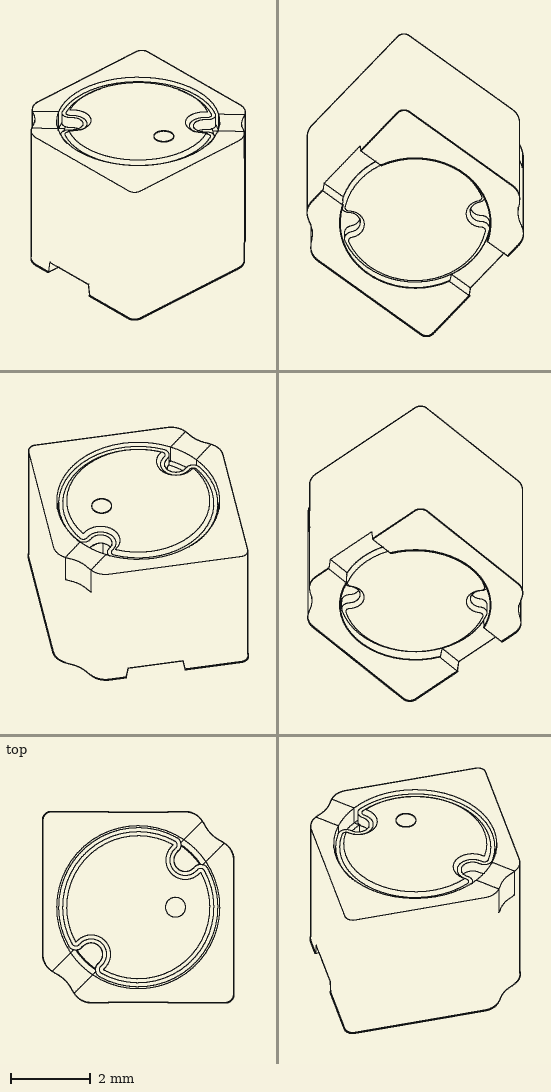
import cadquery as cq
import math

ORIGIN = (0, 0, 0)
UP = (0, 0, 1)
DIAGONAL = 45

OVERALL_WIDTH = 4.82
OVERALL_HEIGHT = 3.81

FOOT_THICKNESS = 0.02
FOOT_OVERHANG = 0.02

SHIELD_HALF = OVERALL_WIDTH / 2 - FOOT_OVERHANG
PLAIN_CORNER_RADIUS = 0.202
UPPER_BORE_RADIUS = 2.05
UPPER_BORE_DEPTH = 0.5
LOWER_BORE_RADIUS = 1.905

RELIEF_START = 1.19
RELIEF_ROUND_RADIUS = 0.5
RELIEF_ROUND_ANGLE = math.radians(56)
RELIEF_FLAT = 0.095
HOLLOW_DEPTH = 0.055

PLUG_WIDTH = 0.78
PLUG_HEIGHT = 0.8

CHANNEL_HEIGHT = 0.32
CHANNEL_TOP_HALF = 0.705
CHANNEL_BOTTOM_HALF = 0.75

CORE_BOTTOM = 0.215
CORE_TOP = OVERALL_HEIGHT
UPPER_FLANGE_RADIUS = 2.0
FLANGE_THICKNESS = 0.3
BEVEL = 0.1
BEVEL_MARGIN = 4.82e-05
LOWER_FLANGE_RADIUS = UPPER_FLANGE_RADIUS - BEVEL
POST_RADIUS = 0.89

NOTCH_RADIUS = 0.285
NOTCH_DISTANCE = 1.673
NOTCH_MOUTH_RADIUS = 0.205

MARK_RADIUS = 0.25
MARK_X = 0.935
MARK_DEPTH = 0.02


def cylinder(radius, bottom, top):
    return cq.Workplane("XY").workplane(offset=bottom).circle(radius).extrude(top - bottom)


def relief_points(overhang):
    """Points of the (+X, +Y) relief from the +X side to the diagonal.

    The overhang moves the side outwards and fades out along the round.
    """
    center_x = SHIELD_HALF - RELIEF_ROUND_RADIUS

    def round_point(angle, radius):
        return (center_x + radius * math.cos(angle), RELIEF_START + radius * math.sin(angle))

    side = round_point(0, RELIEF_ROUND_RADIUS + overhang)
    round_mid = round_point(RELIEF_ROUND_ANGLE / 2, RELIEF_ROUND_RADIUS + overhang / 2)
    round_end = round_point(RELIEF_ROUND_ANGLE, RELIEF_ROUND_RADIUS)
    flat_end = (
        round_end[0] - RELIEF_FLAT * math.sin(RELIEF_ROUND_ANGLE),
        round_end[1] + RELIEF_FLAT * math.cos(RELIEF_ROUND_ANGLE),
    )
    hollow = (flat_end[0] + flat_end[1]) / 2 - HOLLOW_DEPTH / math.sqrt(2)
    return side, round_mid, round_end, flat_end, (hollow, hollow)


def relieved_block(height, overhang=0):
    """Square block on Z = 0 with two relieved and two plain rounded corners."""
    half = SHIELD_HALF + overhang
    side, round_mid, round_end, flat_end, hollow = relief_points(overhang)

    outline = cq.Workplane("XY").moveTo(half, -half)
    for sign in (1, -1):

        def placed(point):
            return (sign * point[0], sign * point[1])

        def mirrored(point):
            return (sign * point[1], sign * point[0])

        outline = (
            outline.lineTo(*placed(side))
            .threePointArc(placed(round_mid), placed(round_end))
            .lineTo(*placed(flat_end))
            .threePointArc(placed(hollow), mirrored(flat_end))
            .lineTo(*mirrored(round_end))
            .threePointArc(mirrored(round_mid), mirrored(side))
            .lineTo(*placed((-half, half)))
        )
    block = outline.close().extrude(height)

    for sign in (1, -1):
        corner = cq.selectors.NearestToPointSelector((sign * half, -sign * half, height / 2))
        block = block.edges(corner).fillet(PLAIN_CORNER_RADIUS + overhang)
    return block


def channel():
    """Tapered bar that cuts the channel across the underside."""
    return (
        cq.Workplane("XZ")
        .polyline([
            (-CHANNEL_BOTTOM_HALF, 0),
            (CHANNEL_BOTTOM_HALF, 0),
            (CHANNEL_TOP_HALF, CHANNEL_HEIGHT),
            (-CHANNEL_TOP_HALF, CHANNEL_HEIGHT),
        ])
        .close()
        .extrude(OVERALL_WIDTH, both=True)
    )


def full_wall():
    """Shield wall before the plug slots are taken out, with the feet on its underside."""
    feet = relieved_block(FOOT_THICKNESS, FOOT_OVERHANG)
    feet = feet.cut(cylinder(LOWER_BORE_RADIUS - FOOT_OVERHANG, 0, FOOT_THICKNESS))
    wall = relieved_block(OVERALL_HEIGHT - FOOT_THICKNESS).translate((0, 0, FOOT_THICKNESS))
    wall = wall.cut(cylinder(LOWER_BORE_RADIUS, 0, OVERALL_HEIGHT))
    wall = wall.cut(cylinder(UPPER_BORE_RADIUS, OVERALL_HEIGHT - UPPER_BORE_DEPTH, OVERALL_HEIGHT))
    return wall.union(feet).cut(channel())


def plug_slot(turn):
    """Bar from the core axis out through one relieved corner, open at the top of the shield."""
    return (
        cq.Workplane("XY")
        .workplane(offset=OVERALL_HEIGHT - PLUG_HEIGHT)
        .center(OVERALL_WIDTH / 2, 0)
        .rect(OVERALL_WIDTH, PLUG_WIDTH)
        .extrude(PLUG_HEIGHT)
        .rotate(ORIGIN, UP, turn)
    )


def make_shield(wall, slots):
    for slot in slots:
        wall = wall.cut(slot)
    return wall


def make_plug(wall, slot):
    """Plug flush with the wall on every side."""
    return wall.intersect(slot)


def notched_disc(radius, inset, thickness):
    """Disc on Z = 0 with the two wire notches, its whole outline set in by the inset."""
    disc_radius = radius - inset
    notch_radius = NOTCH_RADIUS + inset
    notch = (
        cq.Workplane("XY")
        .moveTo(radius, -notch_radius)
        .lineTo(NOTCH_DISTANCE, -notch_radius)
        .threePointArc((NOTCH_DISTANCE - notch_radius, 0), (NOTCH_DISTANCE, notch_radius))
        .lineTo(radius, notch_radius)
        .close()
        .extrude(thickness)
    )
    disc = cylinder(disc_radius, 0, thickness)
    for turn in (0, 180):
        disc = disc.cut(notch.rotate(ORIGIN, UP, turn))

    mouth_x = math.sqrt(disc_radius**2 - notch_radius**2)
    for x in (-mouth_x, mouth_x):
        for y in (-notch_radius, notch_radius):
            corner = cq.selectors.NearestToPointSelector((x, y, thickness / 2))
            disc = disc.edges(corner).fillet(NOTCH_MOUTH_RADIUS - inset)
    return disc.rotate(ORIGIN, UP, DIAGONAL)


def make_core():
    rim_top = CORE_TOP - BEVEL
    flange_height = FLANGE_THICKNESS + BEVEL

    bevel_height = BEVEL - BEVEL_MARGIN
    rim = notched_disc(UPPER_FLANGE_RADIUS, 0, FLANGE_THICKNESS)
    boss = notched_disc(UPPER_FLANGE_RADIUS, BEVEL, BEVEL).faces(">Z").chamfer(bevel_height, BEVEL)
    lower = notched_disc(LOWER_FLANGE_RADIUS, 0, flange_height).faces("<Z").chamfer(BEVEL)

    core = cylinder(POST_RADIUS, CORE_BOTTOM + flange_height, CORE_TOP - flange_height)
    core = core.union(rim.translate((0, 0, rim_top - FLANGE_THICKNESS)))
    core = core.union(boss.translate((0, 0, rim_top)))
    core = core.union(lower.translate((0, 0, CORE_BOTTOM)))
    return core.cut(cylinder(MARK_RADIUS, CORE_TOP - MARK_DEPTH, CORE_TOP).translate((MARK_X, 0, 0)))


wall = full_wall()
slots = [plug_slot(turn) for turn in (DIAGONAL, DIAGONAL + 180)]
shield = make_shield(wall, slots)
plugs = [make_plug(wall, slot) for slot in slots]
core = make_core()

result = cq.Compound.makeCompound([
    shield.solids().val(),
    core.solids().val(),
    *[plug.solids().val() for plug in plugs],
])